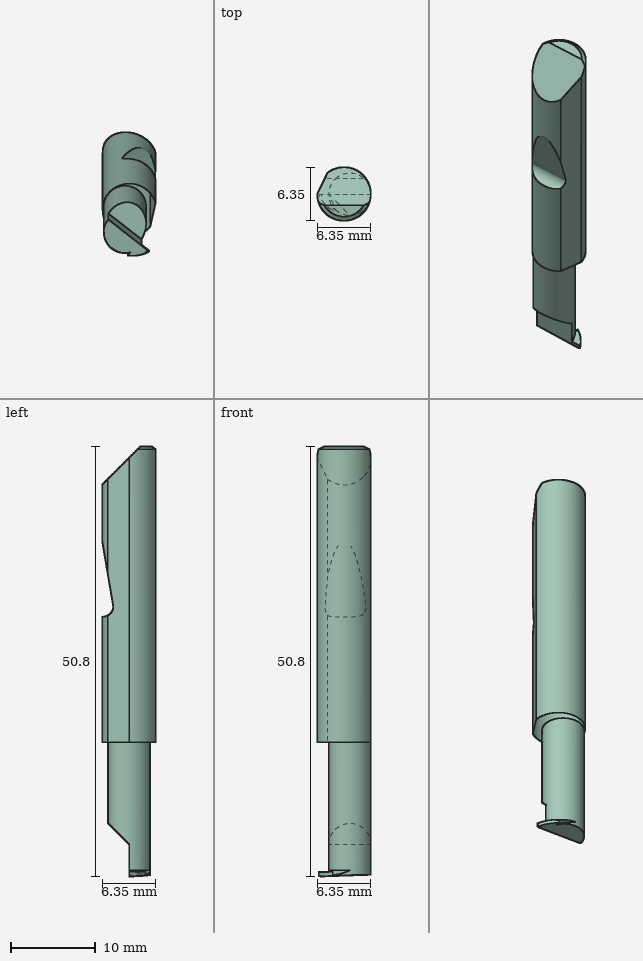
import cadquery as cq
import math


overall_length = 50.79
shank_radius = 6.35 / 2
shoulder_z = 15.85
chamfer_width = 0.5
chamfer_height = 0.35
flat_corner_y = 2.5
slant_start_y = -1.35

notch_bottom_z = 30.7
notch_top_z = 39.6
notch_floor_y = 1.87
notch_radius = 1.2

neck_radius = 2.5
neck_center_x = shank_radius - neck_radius
neck_ramp_bottom_z = 3.8

tip_x = -2.7
blade_left_x = -3.0
blade_right_x = -1.3
blade_top_z = 0.55
tip_corner_height = 0.1
relief_angle_x = 2.0
relief_angle_y = 1.5

groove_top_z = 0.75
groove_floor_angle = 35.0

clearance = 10.0


def prism_along_x(points):
    """Extrude a (y, z) outline through the whole width of the part."""
    return cq.Workplane("YZ").polyline(points).close().extrude(clearance, both=True)


def make_shank():
    length = overall_length - shoulder_z
    profile = (
        cq.Workplane("XZ")
        .moveTo(0, shoulder_z)
        .lineTo(shank_radius, shoulder_z)
        .lineTo(shank_radius, overall_length - chamfer_height)
        .lineTo(shank_radius - chamfer_width, overall_length)
        .lineTo(0, overall_length)
        .close()
    )
    shank = profile.revolve(360, (0, 0, 0), (0, 1, 0))

    flat_corner_x = -math.sqrt(shank_radius**2 - flat_corner_y**2)
    flat = (
        cq.Workplane("XY", origin=(0, 0, shoulder_z))
        .moveTo(-shank_radius, 0)
        .lineTo(flat_corner_x, flat_corner_y)
        .lineTo(-2 * shank_radius, 2 * flat_corner_y)
        .close()
        .extrude(length)
    )

    slant = prism_along_x([
        (slant_start_y, overall_length),
        (slant_start_y + clearance, overall_length - clearance),
        (slant_start_y + clearance, overall_length),
    ])
    return shank.cut(flat).cut(slant).cut(make_notch())


def make_notch():
    """Tapered notch whose deep lower end is rounded by a quarter circle."""
    round_center_y = notch_floor_y + notch_radius
    round_center_z = notch_bottom_z + notch_radius
    middle = notch_radius * math.sqrt(0.5)
    return (
        cq.Workplane("YZ")
        .moveTo(shank_radius, notch_top_z)
        .lineTo(notch_floor_y, round_center_z)
        .threePointArc(
            (round_center_y - middle, round_center_z - middle),
            (round_center_y, notch_bottom_z),
        )
        .lineTo(shank_radius, notch_bottom_z)
        .close()
        .extrude(clearance, both=True)
    )


def make_neck():
    """Neck cut to a half round at the lower end, with a 45 degree run-out."""
    neck = cq.Workplane("XY").center(neck_center_x, 0).circle(neck_radius).extrude(shoulder_z)
    half_cut = prism_along_x([
        (0, 0),
        (0, neck_ramp_bottom_z),
        (neck_radius, neck_ramp_bottom_z + neck_radius),
        (clearance, neck_ramp_bottom_z + neck_radius),
        (clearance, 0),
    ])
    return neck.cut(half_cut)


def make_groove():
    """Wedge under a level ceiling; its floor falls towards -X-Y."""
    chord_distance = neck_radius * math.sqrt(0.5)
    depth = neck_radius - chord_distance
    drop = depth * math.tan(math.radians(groove_floor_angle))
    diagonal = cq.Plane(
        origin=(neck_center_x, 0, groove_top_z), xDir=(-1, -1, 0), normal=(-1, 1, 0)
    )
    return (
        cq.Workplane(diagonal)
        .moveTo(chord_distance, 0)
        .lineTo(neck_radius, 0)
        .lineTo(neck_radius, -drop)
        .close()
        .extrude(clearance, both=True)
    )


def make_blade():
    """Overhanging part of the blade: cutting face at y = 0, curved side heading to a neck tangent."""
    reach = neck_center_x - blade_left_x
    arc_center_y = (reach**2 - neck_radius**2) / (2 * neck_radius)
    arc_radius = arc_center_y + neck_radius
    middle_x = (blade_left_x + blade_right_x) / 2

    def side_y(x):
        return arc_center_y - math.sqrt(arc_radius**2 - (x - neck_center_x) ** 2)

    blade = (
        cq.Workplane("XY")
        .moveTo(blade_left_x, 0)
        .threePointArc((middle_x, side_y(middle_x)), (blade_right_x, side_y(blade_right_x)))
        .lineTo(blade_right_x, 0)
        .close()
        .extrude(blade_top_z)
    )
    corner = (
        cq.Workplane("XZ")
        .moveTo(tip_x, 0)
        .lineTo(blade_left_x, tip_corner_height)
        .lineTo(blade_left_x, 0)
        .close()
        .extrude(clearance)
    )
    return blade.cut(corner)


def make_end_relief():
    """Material below the end face, which rises from the tip towards +X and -Y."""
    block = cq.Workplane("XY").box(2 * clearance, 2 * clearance, clearance)
    return (
        block.translate((0, 0, -clearance / 2))
        .rotate((0, 0, 0), (1, 0, 0), -relief_angle_y)
        .rotate((0, 0, 0), (0, 1, 0), -relief_angle_x)
        .translate((tip_x, 0, 0))
    )


lower_end = make_neck().cut(make_groove()).union(make_blade()).cut(make_end_relief())
result = make_shank().union(lower_end)